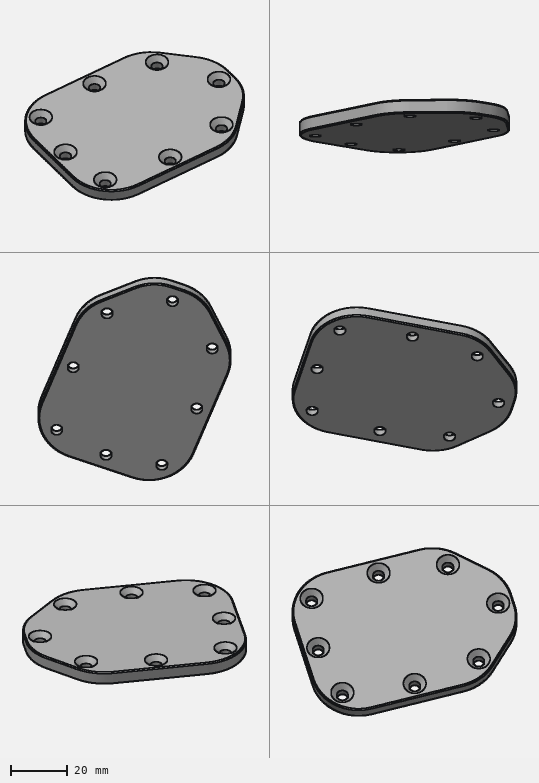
import cadquery as cq

width = 58.0
length = 77.55
thickness = 5.0
corner_radius = 17.0
shoulder_run = 19.55
shoulder_drop = 19.4
edge_chamfer = 0.5

hole_diameter = 4.0
countersink_diameter = 8.1
countersink_angle = 90.0
corner_hole_x = 20.0
side_hole_x = 23.5
end_hole_y = 33.3
upper_hole_y = 20.4
side_hole_y = -4.3
lower_hole_y = -30.0

half_width = width / 2
half_length = length / 2


def make_plate():
    """Rectangle with two cut shoulders, rounded corners and chamfered rims."""
    outline = [
        (-half_width, -half_length),
        (half_width, -half_length),
        (half_width, half_length - shoulder_drop),
        (half_width - shoulder_run, half_length),
        (-half_width + shoulder_run, half_length),
        (-half_width, half_length - shoulder_drop),
    ]
    plate = cq.Workplane("XY").polyline(outline).close().extrude(thickness)
    plate = plate.edges("|Z").fillet(corner_radius)
    return plate.faces("<Z or >Z").edges().chamfer(edge_chamfer)


def hole_positions():
    """Two holes on the centreline and three mirrored pairs."""
    positions = [(0, end_hole_y), (0, -end_hole_y)]
    for side in (-1, 1):
        positions.append((side * corner_hole_x, upper_hole_y))
        positions.append((side * side_hole_x, side_hole_y))
        positions.append((side * corner_hole_x, lower_hole_y))
    return positions


result = (
    make_plate()
    .faces(">Z")
    .workplane(origin=(0, 0, thickness))
    .pushPoints(hole_positions())
    .cskHole(hole_diameter, countersink_diameter, countersink_angle)
)